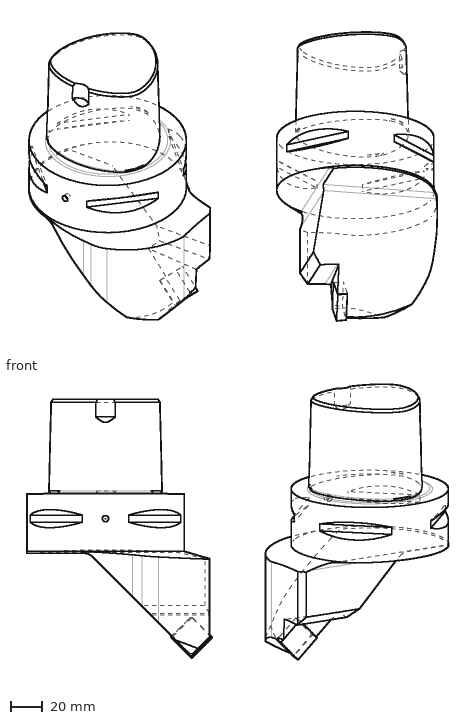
import cadquery as cq
import math


flange_radius = 100.0 / 2
flange_bottom = -36.5
lip_radius = 50.2
lip_bottom = -37.8
ring_radius = 39.8
ring_top_radius = 38.0
ring_height = 0.5

shank_top = 60.0
shank_base = 2.0
shank_radius = 36.0
lobe_height = 2.8
taper = 0.025
chamfer_height = 2.0
chamfer_width = 1.2
neck_inset = 0.8
outline_points = 72

notch_radius = 7.9
notch_axis_y = -36.5
notch_shoulder = 48.9

groove_count = 4
groove_level = -15.8
groove_floor_distance = 44.2
groove_floor_height = 4.6
groove_flare = 0.6
hole_diameter = 4.0
hole_depth = 3.3

arm_side_x = 66.1
arm_front_y = -55.3
arm_back_y = 22.4
arm_top_slope = 0.29
slant_start_x = -10.5
slant_fillet = 7.4
arm_end_offset = 111.0
relief_radius = 102.0
relief_start_y = -5.6
relief_start_z = -101.6

tip_x = 54.8
tip_y = 0.3
insert_width = 18.6
insert_length = 18.6
insert_thickness = 6.3
insert_relief = 0.3
rake_angle = 6.3
pocket_roof = -76.0
pocket_corner_y = 16.6
pocket_chamfer_top = -70.9
pocket_chamfer_drop = 0.8

root_half = math.sqrt(0.5)
far = 197.4
overall_height = 164.5
tip_z = shank_top - overall_height


def lobed_wire(radius, z):
    """Closed three-lobed curve of constant width, with one lobe toward +Y."""
    points = []
    for i in range(outline_points):
        t = 2 * math.pi * i / outline_points
        along = radius * math.cos(t) + lobe_height * (2 * math.cos(2 * t) - math.cos(4 * t))
        across = radius * math.sin(t) - lobe_height * (2 * math.sin(2 * t) + math.sin(4 * t))
        points.append(cq.Vector(-across, along, z))
    return cq.Wire.assembleEdges([cq.Edge.makeSpline(points, periodic=True)])


def lobed_frustum(bottom_radius, bottom_z, top_radius, top_z):
    wires = [lobed_wire(bottom_radius, bottom_z), lobed_wire(top_radius, top_z)]
    return cq.Workplane(cq.Solid.makeLoft(wires, True))


def make_shank():
    chamfer_z = shank_top - chamfer_height
    chamfer_radius = shank_radius - taper * (chamfer_z - shank_base)
    neck = lobed_frustum(shank_radius - neck_inset, -1.6, shank_radius, shank_base)
    taper_part = lobed_frustum(shank_radius, shank_base, chamfer_radius, chamfer_z)
    tip = lobed_frustum(chamfer_radius, chamfer_z, chamfer_radius - chamfer_width, shank_top)
    notch = (
        cq.Workplane("XZ")
        .polyline([
            (0, shank_top + 1.6),
            (notch_radius, shank_top + 1.6),
            (notch_radius, notch_shoulder),
            (0, notch_shoulder - notch_radius),
        ])
        .close()
        .revolve(360, (0, 0), (0, 1))
        .translate((0, notch_axis_y, 0))
    )
    neck_limit = cq.Workplane("XY", origin=(0, 0, -1.6)).circle(ring_top_radius).extrude(shank_base + 1.6)
    neck = neck.intersect(neck_limit)
    return neck.union(taper_part).union(tip).cut(notch)


def make_flange():
    flange = (
        cq.Workplane("XZ")
        .polyline([
            (0, flange_bottom),
            (flange_radius, flange_bottom),
            (flange_radius, 0),
            (ring_radius, 0),
            (ring_top_radius, ring_height),
            (0, ring_height),
        ])
        .close()
        .revolve(360, (0, 0), (0, 1))
    )
    groove_depth = flange_radius + 1.6 - groove_floor_distance
    floor_half = groove_floor_height / 2
    mouth_half = floor_half + groove_flare * groove_depth
    groove = (
        cq.Workplane("XZ")
        .polyline([
            (groove_floor_distance, groove_level - floor_half),
            (groove_floor_distance + groove_depth, groove_level - mouth_half),
            (groove_floor_distance + groove_depth, groove_level + mouth_half),
            (groove_floor_distance, groove_level + floor_half),
        ])
        .close()
        .extrude(flange_radius, both=True)
    )
    for i in range(groove_count):
        flange = flange.cut(groove.rotate((0, 0, 0), (0, 0, 1), 45 + i * 360 / groove_count))
    hole = (
        cq.Workplane("XZ", origin=(0, -flange_radius - 1.6, groove_level))
        .circle(hole_diameter / 2)
        .extrude(-hole_depth - 1.6)
        .faces(">Y")
        .workplane()
        .circle(hole_diameter / 2)
        .extrude(hole_diameter / 2, taper=44)
    )
    return flange.cut(hole)


def plan_outline():
    """The arm seen along Z, carried inside the flange and joined with the lip disc."""
    bottom = tip_z - 8.2
    height = flange_bottom + 3.3 - bottom
    arm = (
        cq.Workplane("XY", origin=(0, 0, bottom))
        .moveTo(-14.8, -48.2)
        .threePointArc((0, -53.3), (17.1, arm_front_y))
        .lineTo(23, arm_front_y)
        .threePointArc((28.5, -54.6), (33.4, -53.0))
        .threePointArc((53.5, -38.5), (arm_side_x, -13.7))
        .lineTo(arm_side_x, 17.0)
        .lineTo(63.2, arm_back_y)
        .lineTo(55.5, 23)
        .threePointArc((46.7, 25.5), (39.0, 32.0))
        .lineTo(0, 32.0)
        .close()
        .extrude(height)
    )
    lip = cq.Workplane("XY", origin=(0, 0, bottom)).circle(lip_radius).extrude(height)
    return arm.union(lip)


def conical_top():
    """Everything below the sloping top of the arm."""
    outer = 98.7
    drop = arm_top_slope * (outer - lip_radius)
    return (
        cq.Workplane("XZ")
        .polyline([
            (0, flange_bottom),
            (lip_radius, flange_bottom),
            (outer, flange_bottom - drop),
            (outer, tip_z - 16.5),
            (0, tip_z - 16.5),
        ])
        .close()
        .revolve(360, (0, 0), (0, 1))
    )


def slanted_underside():
    """Side profile: flat lip underside, filleted 45 degree slant and square 45 degree end."""
    slant_sum = slant_start_x + lip_bottom
    end_difference = arm_end_offset / root_half
    right = 98.7
    profile = (
        cq.Workplane("XZ")
        .polyline([
            (-right, 0),
            (-right, lip_bottom),
            (slant_start_x, lip_bottom),
            ((slant_sum + end_difference) / 2, (slant_sum - end_difference) / 2),
            (right, right - end_difference),
            (right, 0),
        ])
        .close()
        .extrude(far / 2, both=True)
    )
    corner = cq.selectors.NearestToPointSelector((slant_start_x, 0, lip_bottom))
    return profile.edges(corner).fillet(slant_fillet)


def end_relief():
    """Curved clearance that rises under the end of the arm toward -Y, straight along X."""
    reach = 74.0
    half_rise = relief_radius - math.sqrt(relief_radius**2 - (reach / 2) ** 2)
    rise = relief_radius - math.sqrt(relief_radius**2 - reach**2)
    return (
        cq.Workplane("YZ")
        .moveTo(relief_start_y, relief_start_z)
        .threePointArc(
            (relief_start_y - reach / 2, relief_start_z + half_rise),
            (relief_start_y - reach, relief_start_z + rise),
        )
        .lineTo(relief_start_y - reach, tip_z - 16.5)
        .lineTo(relief_start_y, tip_z - 16.5)
        .close()
        .extrude(far, both=True)
    )


def back_clearance():
    """Removes everything behind the arm's back wall and bevels the flange underside there."""
    edge_y = 26.3
    edge_z = -37.0
    fillet_start = -40.5
    rim_z = -35.5
    return (
        cq.Workplane("YZ")
        .moveTo(arm_back_y, -far)
        .lineTo(arm_back_y, fillet_start)
        .threePointArc((23.4, -38.2), (edge_y, edge_z))
        .lineTo(flange_radius, rim_z)
        .lineTo(far, rim_z)
        .lineTo(far, -far)
        .close()
        .extrude(far, both=True)
    )


def insert_plane():
    """Plane at the tip: local x runs back from the cutting edge, local z is the rake normal."""
    rake = math.radians(rake_angle)
    back = (-root_half * math.cos(rake), math.sin(rake), root_half * math.cos(rake))
    normal = (root_half * math.sin(rake), math.cos(rake), -root_half * math.sin(rake))
    return cq.Plane(origin=(tip_x, tip_y, tip_z), xDir=back, normal=normal)


def chip_pocket():
    """Space in front of the rake face, closed at the top by a roof with a sloping corner."""
    roof = (
        cq.Workplane("YZ")
        .polyline([
            (-32.9, -far),
            (-32.9, pocket_roof),
            (5.8, pocket_roof),
            (pocket_corner_y, pocket_roof - pocket_chamfer_drop),
            (arm_back_y, pocket_chamfer_top),
            (far, pocket_chamfer_top),
            (far, -far),
        ])
        .close()
        .extrude(far, both=True)
    )
    above_rake = cq.Workplane(insert_plane()).rect(far, far).extrude(far)
    return roof.intersect(above_rake)


def make_insert():
    """Square cutting insert whose bottom recedes along its cutting edge and both sides."""
    plane = insert_plane()
    top = cq.Workplane(plane).polyline([
        (0, 0), (insert_length, 0), (insert_length, insert_width), (0, insert_width),
    ]).close()
    bottom = top.workplane(offset=-insert_thickness).polyline([
        (insert_relief, insert_relief),
        (insert_length, insert_relief),
        (insert_length, insert_width - insert_relief),
        (insert_relief, insert_width - insert_relief),
    ]).close()
    return bottom.loft(ruled=True)


insert = make_insert()
arm_body = plan_outline().intersect(conical_top()).intersect(slanted_underside()).cut(end_relief())
holder = (
    make_shank()
    .union(make_flange())
    .union(arm_body)
    .cut(back_clearance())
    .cut(chip_pocket())
    .cut(insert)
)

result = cq.Compound.makeCompound([holder.val(), insert.val()])